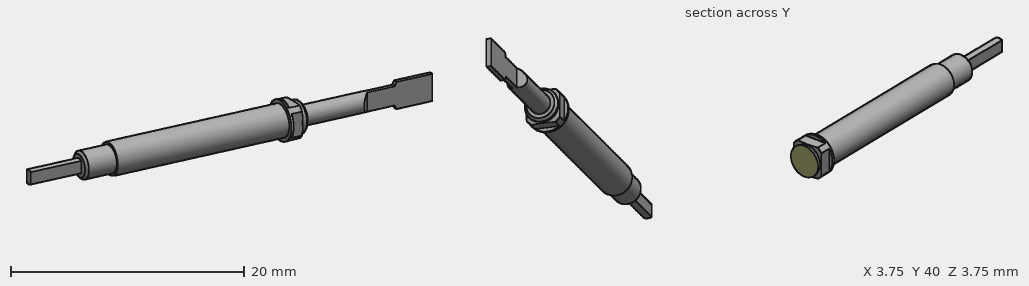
import cadquery as cq

total_length = 40.0

pin_length = 5.0
pin_diameter = 1.35
pin_width = 0.7

sleeve_length = 3.0
sleeve_diameter = 2.55
sleeve_chamfer = 0.25
barrel_length = 17.0
barrel_diameter = 3.05
barrel_chamfer_length = 0.15
barrel_chamfer_depth = 0.05
flange_thickness = 0.25
flange_diameter = 3.75

collar_length = 1.1
collar_bevel_length = 0.1
undercut_length = 0.3
undercut_diameter = 2.85
rim_length = 0.1
nose_length = 0.25
nose_diameter = sleeve_diameter

rod_diameter = 1.85
head_diameter = 2.55
head_length = 3.55
shoulder_length = 0.2
blade_thickness = 0.45
blade_length = 6.5
ramp_length = 0.7

sleeve_start = pin_length
barrel_start = sleeve_start + sleeve_length
flange_start = barrel_start + barrel_length
collar_start = flange_start + flange_thickness
undercut_start = collar_start + collar_length
rim_start = undercut_start + undercut_length
nose_start = rim_start + rim_length
rod_start = nose_start + nose_length
blade_start = total_length - blade_length
head_start = total_length - head_length


def cylinder(diameter, start, length):
    """Round bar on the Y axis, running toward +Y from start."""
    plane = cq.Plane(origin=(0, start, 0), xDir=(1, 0, 0), normal=(0, 1, 0))
    return cq.Workplane(plane).circle(diameter / 2).extrude(length)


def bar(width, height, start, length):
    """Rectangular bar on the Y axis, running toward +Y from start."""
    return cq.Workplane("XY").box(width, length, height).translate((0, start + length / 2, 0))


def turned(outline):
    """Solid of revolution about Y from (radius, y) points running toward +Y."""
    first_y = outline[0][1]
    last_y = outline[-1][1]
    points = [(0, first_y), *outline, (0, last_y)]
    return cq.Workplane("XY").polyline(points).close().revolve(360, (0, 0), (0, 1))


def tail_pin():
    flats = bar(pin_width, pin_diameter, 0, pin_length)
    return cylinder(pin_diameter, 0, pin_length).intersect(flats)


def housing():
    """Tail sleeve, barrel and flange, with bevelled edges on the tail side."""
    sleeve = cylinder(sleeve_diameter, sleeve_start, sleeve_length)
    sleeve = sleeve.faces("<Y").chamfer(sleeve_chamfer)
    barrel_radius = barrel_diameter / 2
    barrel = turned([
        (barrel_radius - barrel_chamfer_depth, barrel_start),
        (barrel_radius, barrel_start + barrel_chamfer_length),
        (barrel_radius, flange_start),
    ])
    flange = cylinder(flange_diameter, flange_start, flange_thickness)
    return sleeve.union(barrel).union(flange)


def collar():
    """Square as wide as the barrel, its corners rounded to the flange and bevelled in front."""
    envelope = turned([
        (flange_diameter / 2, collar_start),
        (flange_diameter / 2, undercut_start - collar_bevel_length),
        (barrel_diameter / 2, undercut_start),
    ])
    square = bar(barrel_diameter, barrel_diameter, collar_start, collar_length)
    return square.intersect(envelope)


def front_rim():
    """Narrow rim as wide as the barrel, tapering both to the collar and to the rod."""
    return turned([
        (undercut_diameter / 2, undercut_start),
        (barrel_diameter / 2, rim_start),
        (barrel_diameter / 2, nose_start),
        (nose_diameter / 2, rod_start),
    ])


def plunger():
    """Turned rod and head, cut to blade thickness by two flats with sloped ramps."""
    turned_bar = turned([
        (rod_diameter / 2, rod_start),
        (rod_diameter / 2, head_start - shoulder_length),
        (head_diameter / 2, head_start),
        (head_diameter / 2, total_length),
    ])
    half_rod = rod_diameter / 2
    half_blade = blade_thickness / 2
    ramp_start = blade_start - ramp_length
    flats = (
        cq.Workplane("XY")
        .polyline([
            (-half_rod, rod_start),
            (half_rod, rod_start),
            (half_rod, ramp_start),
            (half_blade, blade_start),
            (half_blade, total_length),
            (-half_blade, total_length),
            (-half_blade, blade_start),
            (-half_rod, ramp_start),
        ])
        .close()
        .extrude(head_diameter / 2, both=True)
    )
    return turned_bar.intersect(flats)


result = tail_pin().union(housing()).union(collar()).union(front_rim()).union(plunger())